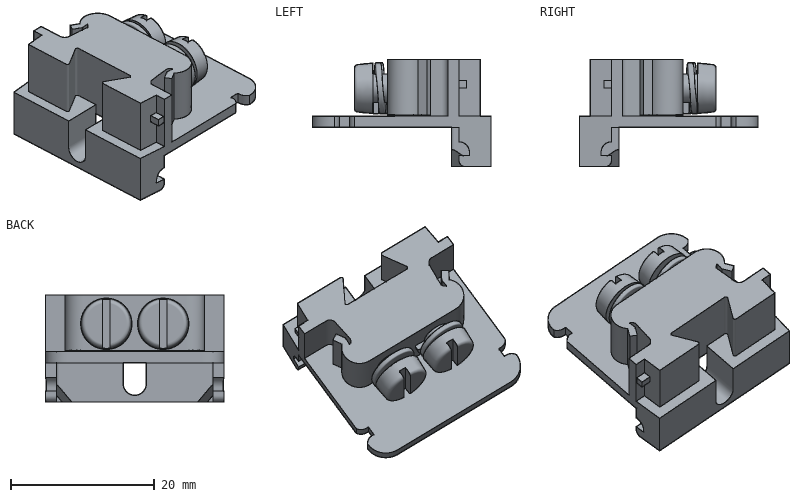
import cadquery as cq
import math

WIDTH = 25.0
DEPTH = 25.0
HEIGHT = 15.0
half_width = WIDTH / 2

plate_bottom = 5.5
plate_top = 7.05
corner_radius = 3.0
notch_front = 19.8
notch_back = 21.18
notch_lip_height = 0.72
notch_lip_radius = 1.45
notch_floor_length = 0.3
inner_half_width = 10.95

shoulder_y = 4.5
base_back = 5.58
side_taper = 0.4
base_edge_radius = 0.42
slot_width = 3.2
slot_bottom = 0.98

hook_throat_y = 3.05
hook_tip_top = 1.55
hook_notch_top = 3.48
hook_nose_radius = 0.88
underside_chamfer_z = 2.3
underside_chamfer_y = 5.15
underside_chamfer_tilt = 32.5
underside_chamfer_size = 2.25

body_front = 1.52
body_side_draft = 0.22
ear_back = 6.02
body_back = 14.5
clamp_half_width = 9.75
clamp_radius = 2.5
waist_half_width = 7.92
waist_fillet = 0.95
dovetail_throat = 3.05
dovetail_angle = 30.0
dovetail_radius = 0.28
foot_gap = 0.18
foot_back = 13.5
foot_half_width = 7.6

slit_wall_end = (foot_half_width, 10.18)
slit_crown = (7.75, 10.55)
slit_tip = (8.15, 10.82)
lip_inner_bend = (8.08, 9.72)
lip_inner_end = (8.82, 8.45)
lip_outer_end = (9.72, 9.0)

tab_end = 12.38
tab_bottom = 10.98
tab_size = 1.08

screw_x = 3.98
screw_z = 10.95
stem_diameter = 4.0
head_bottom_diameter = 7.1
head_top_diameter = 6.65
head_bottom_y = 16.52
head_top_y = 19.12
head_fillet = 0.5
drive_slot_width = 1.02
drive_slot_depth = 1.22
washer_diameter = 7.18
washer_thickness = 0.78
washer_clearance = 0.02
washer_corner = 0.18
washer_stem_overlap = 0.12
left_split_angle = 0
right_split_angle = 90


def mirrored(solid):
    """A solid together with its mirror image across X = 0."""
    return solid.union(solid.mirror("YZ"))


def prism(outline, bottom, top):
    """Extrude a closed XY outline between two heights."""
    return outline.extrude(top - bottom).translate((0, 0, bottom))


def make_plate():
    """Flat plate with rounded rear corners and a rounded notch on each side."""
    lip_end = inner_half_width + notch_floor_length
    straight_end = notch_back + notch_lip_height
    half = (
        cq.Workplane("XY")
        .moveTo(0, shoulder_y)
        .lineTo(half_width, shoulder_y)
        .lineTo(half_width, notch_front - notch_lip_height)
        .radiusArc((lip_end, notch_front), -notch_lip_radius)
        .lineTo(inner_half_width, notch_front)
        .lineTo(inner_half_width, notch_back)
        .lineTo(lip_end, notch_back)
        .radiusArc((half_width, straight_end), -notch_lip_radius)
        .lineTo(half_width, DEPTH - corner_radius)
        .tangentArcPoint((half_width - corner_radius, DEPTH), relative=False)
        .lineTo(0, DEPTH)
        .close()
    )
    return mirrored(prism(half, plate_bottom, plate_top))


def make_base():
    """Tapered front block with a narrower rear step and hooked ends."""
    block = prism(
        cq.Workplane("XY").polyline([
            (half_width - side_taper, 0),
            (half_width, shoulder_y),
            (-half_width, shoulder_y),
            (side_taper - half_width, 0),
        ]).close(),
        0, plate_top,
    )
    rear_step = (
        cq.Workplane("XY")
        .box(2 * inner_half_width, base_back, plate_bottom, centered=(True, False, False))
        .edges("|Z and >Y")
        .fillet(base_edge_radius)
    )
    arc_radius = shoulder_y - hook_throat_y
    arc_centre_z = hook_notch_top - arc_radius
    end_length = half_width - inner_half_width
    hook_notch = (
        cq.Workplane("YZ", origin=(inner_half_width, 0, 0))
        .moveTo(shoulder_y, hook_tip_top)
        .lineTo(hook_throat_y, hook_tip_top)
        .lineTo(hook_throat_y, arc_centre_z)
        .radiusArc((shoulder_y, hook_notch_top), arc_radius)
        .close()
        .extrude(end_length)
    )
    nose = (
        cq.Workplane("YZ", origin=(inner_half_width, 0, 0))
        .moveTo(shoulder_y - hook_nose_radius, 0)
        .radiusArc((shoulder_y, hook_nose_radius), -hook_nose_radius)
        .lineTo(shoulder_y, 0)
        .close()
        .extrude(end_length)
    )
    relief = (
        cq.Workplane("XZ")
        .polyline([
            (inner_half_width, 0),
            (inner_half_width, -2 * underside_chamfer_size),
            (inner_half_width - 2 * underside_chamfer_size, -2 * underside_chamfer_size),
        ])
        .close()
        .extrude(base_back, both=True)
        .rotate((0, 0, 0), (1, 0, 0), underside_chamfer_tilt)
        .translate((0, underside_chamfer_y, underside_chamfer_z))
    )
    relief_limit = cq.Workplane("XY").box(
        WIDTH, base_back - hook_throat_y, plate_bottom, centered=(True, False, False)
    ).translate((0, hook_throat_y, 0))
    end_cuts = hook_notch.union(nose).union(relief.intersect(relief_limit))
    return block.union(rear_step).cut(mirrored(end_cuts))


def make_slot():
    """Round-bottomed slot that runs front to back through the base."""
    slot_radius = slot_width / 2
    return (
        cq.Workplane("XZ")
        .moveTo(-slot_radius, plate_top)
        .lineTo(-slot_radius, slot_bottom + slot_radius)
        .threePointArc((0, slot_bottom), (slot_radius, slot_bottom + slot_radius))
        .lineTo(slot_radius, plate_top)
        .close()
        .extrude(-base_back)
    )


def make_body():
    """Upper block with ears, a rounded clamp head with bent lips and a dovetail channel."""
    clamp_centre_x = clamp_half_width - clamp_radius
    clamp_centre_y = body_back - clamp_radius
    lip_root = (
        clamp_centre_x + clamp_radius * math.cos(math.pi / 4),
        clamp_centre_y - clamp_radius * math.sin(math.pi / 4),
    )
    half = (
        cq.Workplane("XY")
        .moveTo(0, body_front)
        .lineTo(inner_half_width - body_side_draft, body_front)
        .lineTo(inner_half_width, shoulder_y)
        .lineTo(half_width, shoulder_y)
        .lineTo(half_width, ear_back)
        .lineTo(waist_half_width + waist_fillet, ear_back)
        .radiusArc((waist_half_width, ear_back + waist_fillet), waist_fillet)
        .lineTo(*slit_wall_end)
        .threePointArc(slit_crown, slit_tip)
        .lineTo(*lip_inner_bend)
        .lineTo(*lip_inner_end)
        .lineTo(*lip_outer_end)
        .lineTo(*lip_root)
        .threePointArc((clamp_half_width, clamp_centre_y), (clamp_centre_x, body_back))
        .lineTo(0, body_back)
        .close()
    )
    body = mirrored(prism(half, plate_top, HEIGHT))

    dovetail_root = dovetail_throat + (base_back - body_front) * math.tan(math.radians(dovetail_angle))
    dovetail = prism(
        cq.Workplane("XY").polyline([
            (-dovetail_throat, body_front),
            (dovetail_throat, body_front),
            (dovetail_root, base_back),
            (-dovetail_root, base_back),
        ]).close(),
        plate_top, HEIGHT,
    )
    body = body.cut(dovetail)
    reach = dovetail_root + dovetail_radius
    rounded = cq.selectors.BoxSelector(
        (-reach, body_front - dovetail_radius, plate_top),
        (reach, base_back + dovetail_radius, HEIGHT),
    )
    body = body.edges("|Z").edges(rounded).fillet(dovetail_radius)

    gap_front = lip_inner_end[1]
    gap = cq.Workplane("XY").box(
        WIDTH, DEPTH, foot_gap, centered=(True, False, False)
    ).translate((0, gap_front, plate_top))
    foot = cq.Workplane("XY").box(
        2 * foot_half_width, foot_back, foot_gap, centered=(True, False, False)
    ).translate((0, 0, plate_top))
    return body.cut(gap.cut(foot))


def make_tabs():
    """Small square bar on the front of each ear."""
    tab = cq.Workplane("XY").box(
        tab_end - inner_half_width + body_side_draft, tab_size, tab_size, centered=False
    ).translate((inner_half_width - body_side_draft, shoulder_y - tab_size, tab_bottom))
    return mirrored(tab)


def make_washer(split_angle):
    """One turn of a spring washer around the Z axis, starting at Z = 0."""
    gap = head_bottom_y - body_back
    pitch = gap - washer_thickness - 2 * washer_clearance
    inner_radius = stem_diameter / 2 - washer_stem_overlap
    section_width = washer_diameter / 2 - inner_radius
    mean_radius = inner_radius + section_width / 2
    start_z = washer_clearance + washer_thickness / 2
    path = cq.Workplane(obj=cq.Wire.makeHelix(pitch, pitch, mean_radius))
    section = cq.Sketch().rect(section_width, washer_thickness).vertices().fillet(washer_corner)
    coil = (
        cq.Workplane("XZ", origin=(mean_radius, 0, 0))
        .placeSketch(section)
        .sweep(path, isFrenet=True)
    )
    return coil.translate((0, 0, start_z)).rotate((0, 0, 0), (0, 0, 1), split_angle)


def make_screw(x, split_angle):
    """Slotted cheese-head screw with a spring washer, pointing out of the back of the body."""
    head_z = head_bottom_y - body_back
    top_z = head_top_y - body_back
    profile = (
        cq.Workplane("XZ")
        .polyline([
            (0, 0),
            (stem_diameter / 2, 0),
            (stem_diameter / 2, head_z),
            (head_bottom_diameter / 2, head_z),
            (head_top_diameter / 2, top_z),
            (0, top_z),
        ])
        .close()
    )
    screw = profile.revolve(360, (0, 0, 0), (0, 1, 0)).faces(">Z").edges().fillet(head_fillet)
    drive_slot = cq.Workplane("XY").box(
        drive_slot_width, 2 * head_bottom_diameter, drive_slot_depth, centered=(True, True, False)
    ).translate((0, 0, top_z - drive_slot_depth))
    screw = screw.cut(drive_slot).union(make_washer(split_angle))
    return screw.rotate((0, 0, 0), (1, 0, 0), -90).translate((x, body_back, screw_z))


result = make_base().union(make_plate()).cut(make_slot()).union(make_body()).union(make_tabs())
result = result.union(make_screw(-screw_x, left_split_angle))
result = result.union(make_screw(screw_x, right_split_angle))